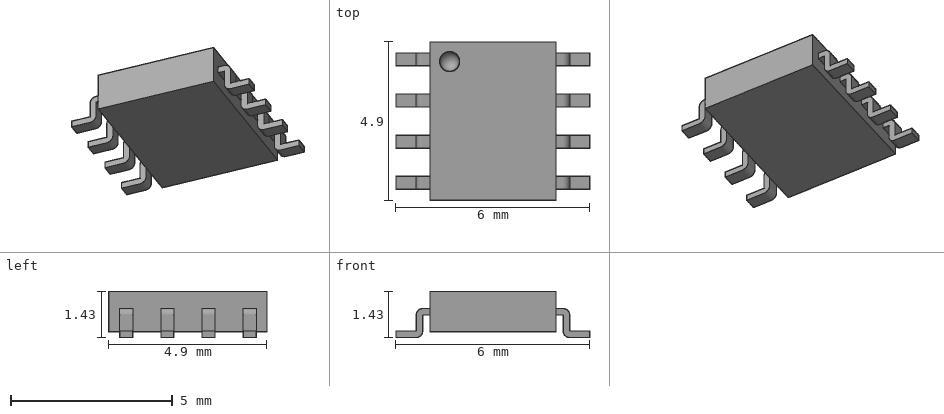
import cadquery as cq

overall_span = 6.0
overall_height = 1.43
body_width = 3.9
body_length = 4.9
body_height = 1.25
body_bottom = overall_height - body_height

lead_count_per_side = 4
lead_pitch = 1.27
lead_width = 0.41
lead_thickness = 0.21
lead_top = 0.905
foot_length = 0.625
bend_radius = lead_thickness

cup_radius = 0.31
cup_wall = 0.01
cup_inset = 0.61


def make_cup_ball(radius):
    """Ball centred on the cup's place in the top face, near the -X, +Y corner."""
    cup_x = -body_width / 2 + cup_inset
    cup_y = body_length / 2 - cup_inset
    return cq.Workplane("XY").sphere(radius).translate((cup_x, cup_y, overall_height))


def make_package_block():
    """Plain rectangular block with the outside shape of the package."""
    block = cq.Workplane("XY").box(body_width, body_length, body_height, centered=(True, True, False))
    return block.translate((0, 0, body_bottom))


def make_housing():
    """Package block with the hemispherical recess that holds the marker cup."""
    return make_package_block().cut(make_cup_ball(cup_radius))


def make_marker_cup():
    """Thin hemispherical cup lining the recess, open at the top face."""
    lining = make_package_block().intersect(make_cup_ball(cup_radius))
    return lining.cut(make_cup_ball(cup_radius - cup_wall))


def make_lead(side, y):
    """One lead; side is -1 for the -X row and +1 for the +X row."""
    toe = overall_span / 2
    outer_face = toe - foot_length
    inner_face = outer_face - lead_thickness
    root = body_width / 2
    profile = [
        (toe, 0),
        (inner_face, 0),
        (inner_face, lead_top - lead_thickness),
        (root, lead_top - lead_thickness),
        (root, lead_top),
        (outer_face, lead_top),
        (outer_face, lead_thickness),
        (toe, lead_thickness),
    ]
    strip = (
        cq.Workplane("XZ")
        .polyline([(side * x, z) for x, z in profile])
        .close()
        .extrude(lead_width / 2, both=True)
    )
    heel = cq.selectors.NearestToPointSelector((side * inner_face, 0, 0))
    shoulder = cq.selectors.NearestToPointSelector((side * outer_face, 0, lead_top))
    strip = strip.edges("|Y").edges(heel).fillet(bend_radius)
    strip = strip.edges("|Y").edges(shoulder).fillet(bend_radius)
    return strip.translate((0, y, 0))


housing = make_housing()
marker_cup = make_marker_cup()

leads = []
for side in (-1, 1):
    for index in range(lead_count_per_side):
        y = (index - (lead_count_per_side - 1) / 2) * lead_pitch
        leads.append(make_lead(side, y).val())

result = cq.Compound.makeCompound([housing.val(), marker_cup.val(), *leads])